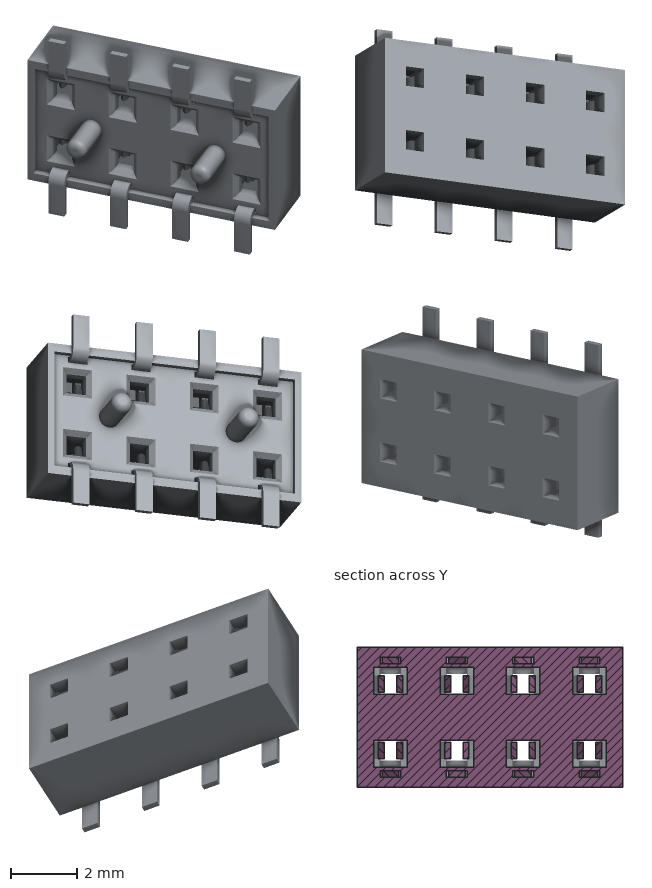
import cadquery as cq
import math


housing_length = 8.0
housing_depth = 2.13
housing_height = 4.22

recess_length = 7.6
recess_height = 3.7
recess_depth = 0.2

peg_diameter = 0.65
peg_reach = 1.22
peg_tip_fillet = 0.21

pitch = 2.0
column_count = 4
column_positions = [(i - (column_count - 1) / 2) * pitch for i in range(column_count)]
peg_positions = [-pitch, pitch]
row_offset = pitch / 2

hole_width = 0.61
mouth_width = 0.91
mouth_depth = 0.15

strip_width = 0.51
strip_thickness = 0.18
tail_tip_z = 3.05
bend_outer_radius = 0.38
bend_inner_radius = bend_outer_radius - strip_thickness
bend_center_y = bend_inner_radius
bend_center_z = 2.0
stem_outer_z = bend_center_z - bend_inner_radius
stem_inner_z = bend_center_z - bend_outer_radius

throat_half_gap = 0.17
throat_y = 1.12
leaf_inner_radius = 0.3
leaf_outer_radius = leaf_inner_radius - strip_thickness
flare_angle = math.radians(45)
cheek_setback = 0.02
cheek_inner_x = hole_width / 2 + cheek_setback
cheek_outer_x = cheek_inner_x + strip_thickness

cavity_start_y = 0.65
cavity_end_y = 1.76
bridge_start_y = throat_y + leaf_inner_radius
cavity_half_length = cheek_outer_x
cavity_step = cavity_half_length - hole_width / 2
cavity_inner_z = row_offset - hole_width / 2
cavity_outer_z = row_offset + hole_width / 2 + cavity_step


def box_between(x_range, y_range, z_range):
    """Box spanning the given (low, high) pairs."""
    lows, highs = zip(x_range, y_range, z_range)
    size = [high - low for low, high in zip(lows, highs)]
    return cq.Workplane("XY").box(*size, centered=False).translate(lows)


def make_bend():
    """Quarter-ring bend from the tail into the stem, centred on X = 0 in the upper row."""
    diagonal = math.sqrt(0.5)
    return (
        cq.Workplane("YZ")
        .moveTo(bend_center_y - bend_outer_radius, bend_center_z)
        .threePointArc(
            (bend_center_y - bend_outer_radius * diagonal, bend_center_z - bend_outer_radius * diagonal),
            (bend_center_y, stem_inner_z),
        )
        .lineTo(bend_center_y, stem_outer_z)
        .threePointArc(
            (bend_center_y - bend_inner_radius * diagonal, bend_center_z - bend_inner_radius * diagonal),
            (bend_center_y - bend_inner_radius, bend_center_z),
        )
        .close()
        .extrude(strip_width / 2, both=True)
    )


def make_leaf():
    """Spring leaf on the +X side: flared tip, rounded throat and a slope back to its cheek."""
    arc_center_x = throat_half_gap + leaf_inner_radius

    def arc_point(radius, angle):
        return (arc_center_x - radius * math.cos(angle), throat_y + radius * math.sin(angle))

    inner_x, inner_y = arc_point(leaf_inner_radius, flare_angle)
    outer_x, outer_y = arc_point(leaf_outer_radius, flare_angle)
    slope = 1 / math.tan(flare_angle)
    return (
        cq.Workplane("XY", origin=(0, 0, row_offset))
        .moveTo(*arc_point(leaf_inner_radius, -flare_angle))
        .threePointArc(arc_point(leaf_inner_radius, 0), (inner_x, inner_y))
        .lineTo(cheek_inner_x, inner_y + (cheek_inner_x - inner_x) * slope)
        .lineTo(cheek_inner_x, cavity_end_y)
        .lineTo(cheek_outer_x, cavity_end_y)
        .lineTo(cheek_outer_x, outer_y + (cheek_outer_x - outer_x) * slope)
        .lineTo(outer_x, outer_y)
        .threePointArc(arc_point(leaf_outer_radius, 0), arc_point(leaf_outer_radius, -flare_angle))
        .close()
        .extrude(strip_width / 2, both=True)
    )


def make_contact():
    """Contact of the upper row, centred on X = 0."""
    half_width = strip_width / 2
    strip_x = (-half_width, half_width)
    bridge_y = (bridge_start_y, cavity_end_y)
    tail = box_between(strip_x, (-strip_thickness, 0), (bend_center_z, tail_tip_z))
    stem = box_between(strip_x, (bend_center_y, cavity_end_y), (stem_inner_z, stem_outer_z))
    bridge = box_between((-cheek_outer_x, cheek_outer_x), bridge_y, (stem_inner_z, stem_outer_z))
    cheek = box_between((cheek_inner_x, cheek_outer_x), bridge_y, (row_offset - half_width, stem_outer_z))
    side = make_leaf().union(cheek)
    return tail.union(make_bend()).union(stem).union(bridge).union(side).union(side.mirror("YZ"))


def make_contact_space():
    """Space cut from the housing for one contact and its pin, upper row, centred on X = 0."""
    half_hole = hole_width / 2
    hole_x = (-half_hole, half_hole)
    hole_z = (row_offset - half_hole, row_offset + half_hole)
    hole = box_between(hole_x, (recess_depth, housing_depth), hole_z)
    mouth = (
        cq.Workplane("XZ", origin=(0, recess_depth, row_offset))
        .rect(mouth_width, mouth_width)
        .workplane(offset=-mouth_depth)
        .rect(hole_width, hole_width)
        .loft(ruled=True)
    )
    slot = box_between(hole_x, (recess_depth, cavity_end_y), (stem_inner_z, stem_outer_z))
    cavity_x = (-cavity_half_length, cavity_half_length)
    leaf_cavity = box_between(cavity_x, (cavity_start_y, cavity_end_y), (cavity_inner_z, cavity_outer_z))
    bridge_cavity = box_between(cavity_x, (bridge_start_y, cavity_end_y), (cavity_inner_z, stem_outer_z))
    return hole.union(mouth).union(slot).union(leaf_cavity).union(bridge_cavity).union(make_bend())


def place_in_grid(shape):
    """Copies of an upper-row shape at every grid place; the lower row is mirrored."""
    lower_shape = shape.mirror("XY")
    return [row_shape.translate((x, 0, 0)) for row_shape in (shape, lower_shape) for x in column_positions]


def make_peg(x):
    """Locating peg with a rounded tip, standing on the recess floor."""
    return (
        cq.Workplane("XZ", origin=(x, recess_depth, 0))
        .circle(peg_diameter / 2)
        .extrude(recess_depth + peg_reach)
        .faces("<Y")
        .edges()
        .fillet(peg_tip_fillet)
    )


def make_housing():
    """Recessed block with a space for each contact and two integral pegs."""
    body = cq.Workplane("XZ").rect(housing_length, housing_height).extrude(-housing_depth)
    recess = cq.Workplane("XZ").rect(recess_length, recess_height).extrude(-recess_depth)
    body = body.cut(recess)
    for space in place_in_grid(make_contact_space()):
        body = body.cut(space)
    for x in peg_positions:
        body = body.union(make_peg(x))
    return body


housing = make_housing()
contacts = place_in_grid(make_contact())

result = cq.Compound.makeCompound([housing.val(), *[contact.val() for contact in contacts]])